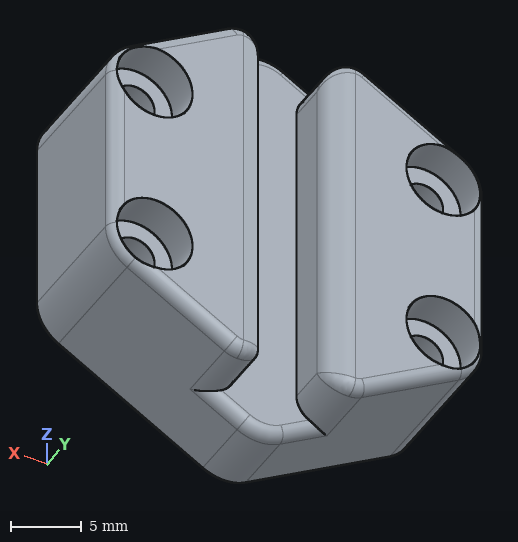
import cadquery as cq
import math

width = 30.2
height = 33.98
depth = 11.0

corner_radius = 3.45
edge_radius = 1.0

channel_width = 5.03
channel_floor = 6.0
channel_lip_radius = 2.0

screw_hole_diameter = 3.2
counterbore_diameter = 6.0
counterbore_depth = 3.0

side_hole_diameter = 4.0
side_hole_depth = 6.8

slant = math.radians(30)
half_width = width / 2
tip_z = height / 2 + corner_radius * (1 / math.cos(slant) - 1)
shoulder_z = tip_z - half_width * math.tan(slant)

screw_x = half_width - corner_radius
screw_z = shoulder_z - corner_radius * math.tan(slant)


def hexagon_prism(thickness):
    """Rounded hexagon with its front face at y = 0."""
    corners = [
        (0, tip_z),
        (half_width, shoulder_z),
        (half_width, -shoulder_z),
        (0, -tip_z),
        (-half_width, -shoulder_z),
        (-half_width, shoulder_z),
    ]
    prism = cq.Workplane("XZ").polyline(corners).close().extrude(-thickness)
    return prism.edges("|Y").fillet(corner_radius)


def side_block():
    """Full-depth block on the +X side of the channel, with a rounded channel lip."""
    wall_x = channel_width / 2
    wall_z = tip_z - wall_x * math.tan(slant)
    corners = [
        (wall_x, wall_z),
        (half_width, shoulder_z),
        (half_width, -shoulder_z),
        (wall_x, -wall_z),
    ]
    block = cq.Workplane("XZ").polyline(corners).close().extrude(-depth)
    block = block.edges("|Y and >X").fillet(corner_radius)
    block = block.faces("<X").edges("not(<Y)").fillet(channel_lip_radius)
    return block.faces(">Y").edges("not(<X)").fillet(edge_radius)


base = hexagon_prism(channel_floor).faces(">Y").edges().fillet(edge_radius)
right_block = side_block()
result = base.union(right_block).union(right_block.mirror("YZ"))

for x in (-screw_x, screw_x):
    for z in (-screw_z, screw_z):
        axis = cq.Workplane("XZ").center(x, z)
        result = result.cut(axis.circle(screw_hole_diameter / 2).extrude(-depth))
        counterbore = axis.workplane(offset=-depth).circle(counterbore_diameter / 2)
        result = result.cut(counterbore.extrude(counterbore_depth))

side_hole = (
    cq.Workplane("YZ", origin=(-half_width, depth / 2, 0))
    .circle(side_hole_diameter / 2)
    .extrude(side_hole_depth)
)
result = result.cut(side_hole)